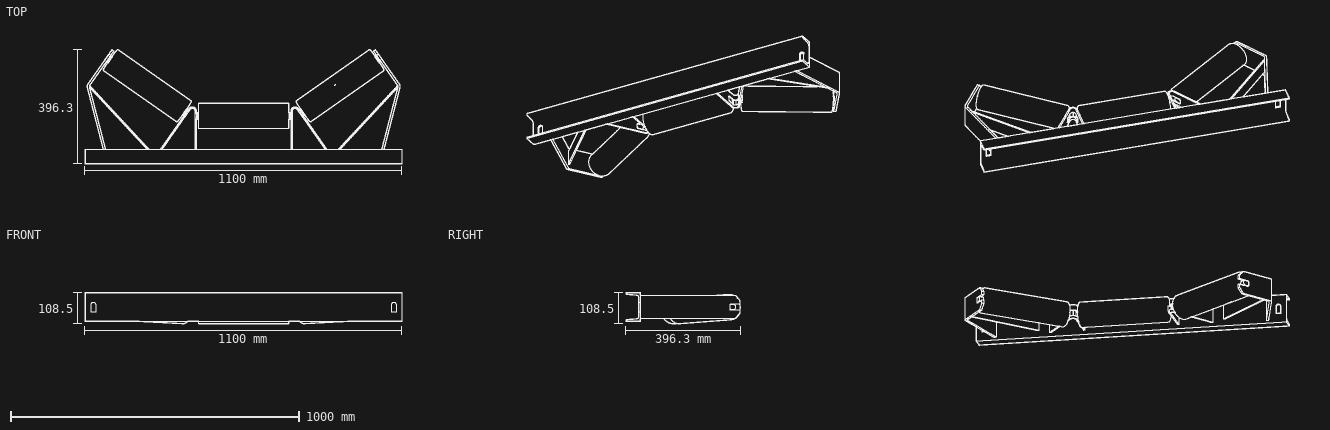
import math

import cadquery as cq


LENGTH = 1100.0
CHANNEL_HEIGHT = 100.0
FLANGE_WIDTH = CHANNEL_HEIGHT / 2
WEB = 6.0
FLANGE_MID = 8.5
FLANGE_SLOPE = 0.08
ROOT_RADIUS = 8.5
TOE_RADIUS = 4.0

SLOT_WIDTH = 16.0
SLOT_HEIGHT = 33.0
SLOT_FROM_END = 29.0

TROUGH_ANGLE = 35.0
ROLLER_LENGTH = 315.0
ROLLER_DIAMETER = 89.0
ROLLER_EDGE = 3.8
WING_X = 334.0
WING_Y = 221.0
MIDDLE_Y = 117.0
AXIS_DROP = 14.0

SHAFT_RADIUS = 12.0
SHAFT_FLATS = 18.0
SEAT_WIDTH = 20.0
SEAT_CORNER = 4.0

OUTER_HEIGHT = 80.0
INNER_HEIGHT = 50.0
INNER_DROP = 10.0
OUTER_PLATE = 8.2
INNER_PLATE = 5.0
GAP = 7.0
ARM_TIP = 32.0
ARM_CHAMFER = 19.0
KNEE_RADIUS = 15.0
LEG_LEAN = 14.5
LEG_FOOT_X = 487.0
BRACE_FOOT_X = 331.0
BEND_RADIUS = 14.0

COS = math.cos(math.radians(TROUGH_ANGLE))
SIN = math.sin(math.radians(TROUGH_ANGLE))
SEAT_FACE = ROLLER_LENGTH / 2 + GAP
WING_TILT = math.degrees(math.asin(AXIS_DROP / (2 * SEAT_FACE)))
SEAT_CUT = 220.0
SEAT_DEPTH = 2 * OUTER_PLATE


def wing_point(along, across):
    """World X, Y of a point given along and across the axis of the left roller."""
    return (-WING_X + along * COS + across * SIN, WING_Y - along * SIN + across * COS)


def plate(points, height):
    """Upright plate centred on mid height, from its outline in plan."""
    return cq.Workplane("XY").workplane(offset=-height / 2).polyline(points).close().extrude(height)


def make_channel():
    """Channel along X, opening towards -Y, with rounded flange roots and toes."""
    half = CHANNEL_HEIGHT / 2
    taper = FLANGE_SLOPE * FLANGE_WIDTH / 2
    tip = half - FLANGE_MID + taper
    root = half - FLANGE_MID - taper + FLANGE_SLOPE * WEB
    cavity = (
        cq.Workplane("YZ")
        .workplane(offset=-LENGTH / 2)
        .polyline([(-FLANGE_WIDTH, -tip), (-WEB, -root), (-WEB, root), (-FLANGE_WIDTH, tip)])
        .close()
        .extrude(LENGTH)
        .edges("|X and >Y")
        .fillet(ROOT_RADIUS)
    )
    channel = cq.Workplane("XY").box(LENGTH, FLANGE_WIDTH, CHANNEL_HEIGHT)
    channel = channel.translate((0, -FLANGE_WIDTH / 2, 0)).cut(cavity)
    toes = cq.selectors.BoxSelector(
        (-LENGTH, -FLANGE_WIDTH - WEB, -half + TOE_RADIUS / 2),
        (LENGTH, -FLANGE_WIDTH + WEB / 2, half - TOE_RADIUS / 2),
    )
    channel = channel.edges("|X").edges(toes).fillet(TOE_RADIUS)
    slot = make_slot()
    for side in (-1, 1):
        channel = channel.cut(slot.translate((side * (LENGTH / 2 - SLOT_FROM_END), 0, 0)))
    return channel


def make_slot():
    """Cutter for a mounting slot, reaching from the back of the web through to its front."""
    slot_radius = SLOT_WIDTH / 2
    slot_bottom = -SLOT_HEIGHT / 2
    slot_shoulder = SLOT_HEIGHT / 2 - slot_radius
    return (
        cq.Workplane("XZ")
        .moveTo(-slot_radius, slot_bottom)
        .lineTo(slot_radius, slot_bottom)
        .lineTo(slot_radius, slot_shoulder)
        .threePointArc((0, SLOT_HEIGHT / 2), (-slot_radius, slot_shoulder))
        .close()
        .extrude(WEB)
    )


def make_seat():
    """Cutter for an open-ended seat; a shaft along X at the origin rests on its bottom."""
    seat = cq.Workplane("XY").box(SEAT_DEPTH, SEAT_CUT, SEAT_WIDTH)
    seat = seat.translate((0, SEAT_CUT / 2 - SHAFT_RADIUS, 0))
    return seat.edges("|X and <Y").fillet(SEAT_CORNER)


def wing_seat(along, z):
    """Seat cutter on the axis of the left roller."""
    x, y = wing_point(along, 0)
    return make_seat().rotate((0, 0, 0), (0, 0, 1), -TROUGH_ANGLE).translate((x, y, z))


def knee_corner(along, foot_x):
    """Point where a face of the arm meets the leg face that starts at `foot_x` on the channel."""
    arm_x, arm_y = wing_point(along, 0)
    arm_slope = SIN / COS
    leg_slope = math.tan(math.radians(LEG_LEAN))
    y = (foot_x - arm_x + arm_slope * arm_y) / (arm_slope + leg_slope)
    return (foot_x - leg_slope * y, y)


def make_outer_bracket():
    """Bent plate with a chamfered arm that carries the outer end of the left roller."""
    outer = -SEAT_FACE - OUTER_PLATE
    outer_foot = -LEG_FOOT_X
    inner_foot = outer_foot + OUTER_PLATE / math.cos(math.radians(LEG_LEAN))
    outer_knee = knee_corner(outer, outer_foot)
    inner_knee = knee_corner(-SEAT_FACE, inner_foot)
    bracket = plate([
        wing_point(outer, ARM_TIP),
        outer_knee,
        (outer_foot, 0),
        (inner_foot, 0),
        inner_knee,
        wing_point(-SEAT_FACE, ARM_TIP),
    ], OUTER_HEIGHT)
    bracket = bracket.edges("|Z and <X").fillet(KNEE_RADIUS)
    inner_edge = cq.selectors.NearestToPointSelector((*inner_knee, 0))
    bracket = bracket.edges("|Z").edges(inner_edge).fillet(KNEE_RADIUS - OUTER_PLATE)
    tip_face = cq.selectors.DirectionMinMaxSelector(cq.Vector(SIN, COS, 0), True)
    across_plate = cq.selectors.ParallelDirSelector(cq.Vector(COS, -SIN, 0))
    bracket = bracket.faces(tip_face).edges(across_plate).chamfer(ARM_CHAMFER)
    bracket = bracket.cut(wing_seat(-SEAT_FACE - OUTER_PLATE / 2, 0))
    return bracket.union(make_brace(*inner_knee))


def make_brace(knee_x, knee_y):
    """Straight strip from the inside of the knee to the back of the channel."""
    brace_angle = math.atan2(knee_y, -knee_x - BRACE_FOOT_X)
    half_foot = INNER_PLATE / math.sin(brace_angle) / 2
    return plate([
        (-BRACE_FOOT_X - half_foot, 0),
        (-BRACE_FOOT_X + half_foot, 0),
        (knee_x + half_foot, knee_y),
        (knee_x - half_foot, knee_y),
    ], INNER_HEIGHT)


def make_wedge(inset):
    """Wedge with a rounded ridge, its two sloping faces moved inwards by `inset`."""
    face_x, face_y = wing_point(SEAT_FACE + inset, 0)
    left = face_x - face_y * SIN / COS
    right = -SEAT_FACE - inset
    ridge = (right - left) * COS / SIN
    wedge = plate([(left, 0), (right, 0), (right, ridge)], INNER_HEIGHT)
    return wedge.edges("|Z and >Y").fillet(BEND_RADIUS - inset)


def make_inner_bracket():
    """Strip bent over between the left and the middle roller, holding a shaft end of each."""
    bracket = make_wedge(0).cut(make_wedge(INNER_PLATE)).translate((0, 0, -INNER_DROP))
    bracket = bracket.cut(wing_seat(SEAT_FACE + INNER_PLATE / 2, -AXIS_DROP))
    middle_seat = make_seat().translate((-SEAT_FACE - INNER_PLATE / 2, MIDDLE_Y, -AXIS_DROP))
    return bracket.cut(middle_seat)


def make_frame():
    """Welded frame: the channel with an outer and an inner bracket on each half."""
    frame = make_channel()
    for bracket in (make_outer_bracket(), make_inner_bracket()):
        frame = frame.union(bracket).union(bracket.mirror("YZ"))
    return frame


def rod(radius, start, end):
    """Round bar along X."""
    return cq.Workplane("YZ").workplane(offset=start).circle(radius).extrude(end - start)


def make_roller():
    """Roller along X, bored for its shaft."""
    half = ROLLER_LENGTH / 2
    tube = rod(ROLLER_DIAMETER / 2, -half, half).edges().fillet(ROLLER_EDGE)
    return tube.cut(rod(SHAFT_RADIUS, -half, half))


def make_shaft(outer_plate):
    """Shaft along X, its flats reaching through a bracket plate at each end."""
    shoulder = SEAT_FACE - GAP / 2
    flats = cq.Workplane("XY").box(LENGTH, 2 * SHAFT_RADIUS, SHAFT_FLATS)
    flattened = rod(SHAFT_RADIUS, -SEAT_FACE - outer_plate, SEAT_FACE + INNER_PLATE).intersect(flats)
    return flattened.union(rod(SHAFT_RADIUS, -shoulder, shoulder))


def place(body, x, y, z, tilt, swing):
    """Lower the +X end of a body by `tilt`, swing it in plan and move it to its centre."""
    body = body.rotate((0, 0, 0), (0, 1, 0), tilt).rotate((0, 0, 0), (0, 0, 1), swing)
    return body.translate((x, y, z)).val()


stations = [
    (-WING_X, WING_Y, -AXIS_DROP / 2, WING_TILT, -TROUGH_ANGLE, OUTER_PLATE),
    (0, MIDDLE_Y, -AXIS_DROP, 0, 0, INNER_PLATE),
    (WING_X, WING_Y, -AXIS_DROP / 2, WING_TILT, 180 + TROUGH_ANGLE, OUTER_PLATE),
]
frame = make_frame()
rollers = []
shafts = []
for x, y, z, tilt, swing, outer_plate in stations:
    rollers.append(place(make_roller(), x, y, z, tilt, swing))
    shafts.append(place(make_shaft(outer_plate), x, y, z, tilt, swing))

result = cq.Compound.makeCompound([frame.val(), *rollers, *shafts])